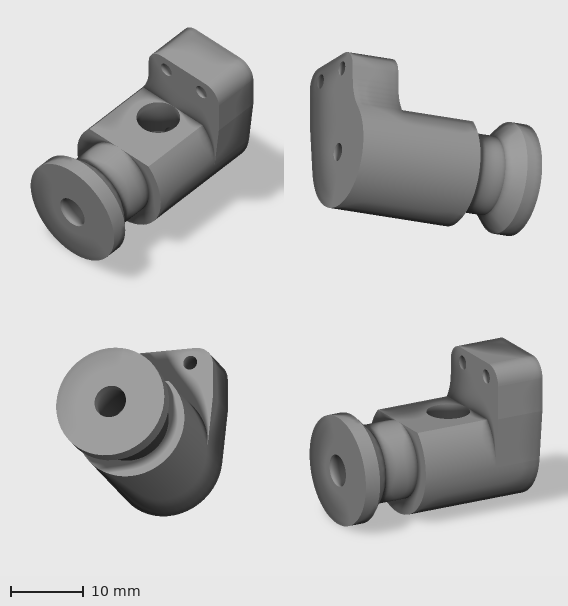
import cadquery as cq
import math

OVERALL_LENGTH = 27.5
OUTER_RADIUS = 7.75

RIM_END = 2.25
CONE_END = 4.5
NECK_END = 9.5
NECK_RADIUS = 5.5

BODY_END = 20.5
FLAT_HEIGHT = NECK_RADIUS

PLATE_LEFT = -4.5
PLATE_RIGHT = 8.5
PLATE_TOP = 13.75
CORNER_RADIUS = 2.5
BLEND_RADIUS = 7.0
TAPER_TOP = 6.45

SCREW_RADIUS = 1.0
SCREW_SPACING = 6.5
SCREW_HEIGHT = 11.7
BORE_RADIUS = 1.26
COUNTERBORE_RADIUS = 2.25
COUNTERBORE_DEPTH = NECK_END
POCKET_RADIUS = 3.0
POCKET_Y = BODY_END - POCKET_RADIUS
POCKET_FLOOR = 0.0


def xz_plane(y):
    """Plane at y with local axes X and Z; its normal points toward -Y."""
    return cq.Workplane(cq.Plane(origin=(0, y, 0), xDir=(1, 0, 0), normal=(0, -1, 0)))


def cylinder(radius, start, end, x=0.0, z=0.0):
    """Cylinder parallel to Y between two Y positions."""
    return xz_plane(start).center(x, z).circle(radius).extrude(start - end)


def polar(radius, angle):
    return (radius * math.cos(angle), radius * math.sin(angle))


def make_knob():
    return (
        cq.Workplane("XY")
        .moveTo(0, 0)
        .lineTo(OUTER_RADIUS, 0)
        .lineTo(OUTER_RADIUS, RIM_END)
        .lineTo(NECK_RADIUS, CONE_END)
        .lineTo(NECK_RADIUS, NECK_END)
        .lineTo(0, NECK_END)
        .close()
        .revolve(360, (0, 0, 0), (0, 1, 0))
    )


def make_body():
    half_flat = math.sqrt(OUTER_RADIUS**2 - FLAT_HEIGHT**2)
    return (
        xz_plane(NECK_END)
        .moveTo(-half_flat, FLAT_HEIGHT)
        .lineTo(half_flat, FLAT_HEIGHT)
        .threePointArc((0, -OUTER_RADIUS), (-half_flat, FLAT_HEIGHT))
        .close()
        .extrude(NECK_END - BODY_END)
    )


def make_plate():
    blend_x = PLATE_LEFT - BLEND_RADIUS
    center_distance = OUTER_RADIUS + BLEND_RADIUS
    blend_z = math.sqrt(center_distance**2 - blend_x**2)
    blend_angle = math.atan2(blend_z, blend_x)
    blend_start = polar(OUTER_RADIUS, blend_angle)
    middle_dx, middle_dz = polar(BLEND_RADIUS, (blend_angle - math.pi) / 2)
    blend_middle = (blend_x + middle_dx, blend_z + middle_dz)

    taper_distance = math.hypot(PLATE_RIGHT, TAPER_TOP)
    taper_angle = math.atan2(TAPER_TOP, PLATE_RIGHT) - math.acos(OUTER_RADIUS / taper_distance)
    taper_end = polar(OUTER_RADIUS, taper_angle)

    corner_inset = CORNER_RADIUS * (1 - math.sqrt(0.5))
    return (
        xz_plane(BODY_END)
        .moveTo(*blend_start)
        .threePointArc(blend_middle, (PLATE_LEFT, blend_z))
        .lineTo(PLATE_LEFT, PLATE_TOP - CORNER_RADIUS)
        .threePointArc(
            (PLATE_LEFT + corner_inset, PLATE_TOP - corner_inset),
            (PLATE_LEFT + CORNER_RADIUS, PLATE_TOP),
        )
        .lineTo(PLATE_RIGHT - CORNER_RADIUS, PLATE_TOP)
        .threePointArc(
            (PLATE_RIGHT - corner_inset, PLATE_TOP - corner_inset),
            (PLATE_RIGHT, PLATE_TOP - CORNER_RADIUS),
        )
        .lineTo(PLATE_RIGHT, TAPER_TOP)
        .lineTo(*taper_end)
        .threePointArc((0, -OUTER_RADIUS), blend_start)
        .close()
        .extrude(BODY_END - OVERALL_LENGTH)
    )


def make_holes():
    bore = cylinder(BORE_RADIUS, 0, OVERALL_LENGTH)
    counterbore = cylinder(COUNTERBORE_RADIUS, 0, COUNTERBORE_DEPTH)
    pocket = (
        cq.Workplane("XY", origin=(0, POCKET_Y, POCKET_FLOOR))
        .circle(POCKET_RADIUS)
        .extrude(FLAT_HEIGHT - POCKET_FLOOR)
    )
    holes = bore.union(counterbore).union(pocket)
    plate_middle = (PLATE_LEFT + PLATE_RIGHT) / 2
    for side in (-1, 1):
        screw_x = plate_middle + side * SCREW_SPACING / 2
        holes = holes.union(cylinder(SCREW_RADIUS, BODY_END, OVERALL_LENGTH, screw_x, SCREW_HEIGHT))
    return holes


result = make_knob().union(make_body()).union(make_plate()).cut(make_holes())